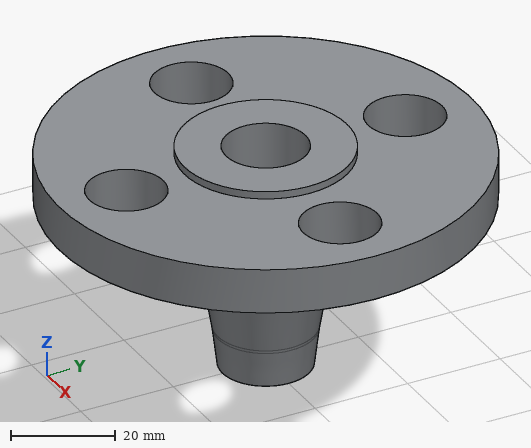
import cadquery as cq
import math

flange_diameter = 88.9
flange_thickness = 9.5
face_diameter = 35.0
face_height = 1.6
top_z = flange_thickness + face_height

overall_height = 47.65
bottom_z = top_z - overall_height
neck_top_radius = 14.2
neck_top_z = -5.25
neck_tip_radius = 10.3
neck_tip_z = -28.45
tip_end_radius = 9.3
tip_blend_reach = 0.31
fillet_radius = 6.2

bore_diameter = 17.1
bolt_hole_diameter = 15.9
bolt_circle_diameter = 60.3
bolt_hole_count = 4


def make_body():
    """Revolve the solid half profile; the root fillet is tangent to the plate and the neck taper."""
    taper = math.atan2(neck_top_radius - neck_tip_radius, neck_top_z - neck_tip_z)
    center_z = -fillet_radius
    tangent_z = center_z + fillet_radius * math.sin(taper)
    tangent_radius = neck_top_radius + (tangent_z - neck_top_z) * math.tan(taper)
    center_radius = tangent_radius + fillet_radius * math.cos(taper)
    mid_angle = (math.pi / 2 + math.pi - taper) / 2
    fillet_mid = (
        center_radius + fillet_radius * math.cos(mid_angle),
        center_z + fillet_radius * math.sin(mid_angle),
    )
    tip_taper = math.atan2(neck_tip_radius - tip_end_radius, neck_tip_z - bottom_z)
    blend_start = (
        neck_tip_radius - tip_blend_reach * math.sin(tip_taper),
        neck_tip_z - tip_blend_reach * math.cos(tip_taper),
    )
    blend_end = (
        neck_tip_radius + tip_blend_reach * math.sin(taper),
        neck_tip_z + tip_blend_reach * math.cos(taper),
    )
    return (
        cq.Workplane("XZ")
        .moveTo(0, bottom_z)
        .lineTo(tip_end_radius, bottom_z)
        .lineTo(*blend_start)
        .tangentArcPoint(blend_end, relative=False)
        .lineTo(tangent_radius, tangent_z)
        .threePointArc(fillet_mid, (center_radius, 0))
        .lineTo(flange_diameter / 2, 0)
        .lineTo(flange_diameter / 2, flange_thickness)
        .lineTo(face_diameter / 2, flange_thickness)
        .lineTo(face_diameter / 2, top_z)
        .lineTo(0, top_z)
        .close()
        .revolve(360, (0, 0, 0), (0, 1, 0))
    )


def make_bore():
    return cq.Workplane("XY").workplane(offset=bottom_z).circle(bore_diameter / 2).extrude(overall_height)


def make_bolt_holes():
    return (
        cq.Workplane("XY")
        .polarArray(bolt_circle_diameter / 2, 0, 360, bolt_hole_count)
        .circle(bolt_hole_diameter / 2)
        .extrude(flange_thickness)
    )


result = make_body().cut(make_bore()).cut(make_bolt_holes())